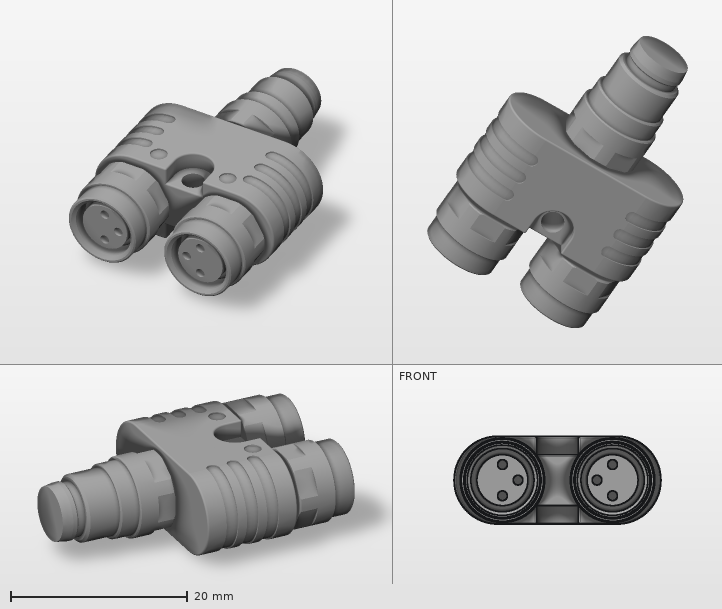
import cadquery as cq
import math

TOTAL_LENGTH = 33.45

BODY_WIDTH = 23.5
BODY_HEIGHT = 10.0
BODY_FRONT = 7.9
BODY_LENGTH = 11.37
BODY_BACK = BODY_FRONT + BODY_LENGTH
BODY_EDGE = 0.2
END_RADIUS = BODY_HEIGHT / 2
END_CENTRE = BODY_WIDTH / 2 - END_RADIUS

GROOVE_WIDTH = 1.47
GROOVE_PITCH = 2.58
GROOVE_DEPTH = 0.2
GROOVE_COUNT = 3

HOLE_DIAMETER = 2.65
HOLE_Y = 9.97
RECESS_RADIUS = 2.37
WEB_THICKNESS = 5.82

LABEL_DIAMETER = 2.0
LABEL_DEPTH = 0.2
LABEL_X = 4.5

NECK_DIAMETER = 5.9
NUT_DIAMETER = 9.6
NUT_EDGE = 0.15
HEX_ACROSS_FLATS = 9.0
HALF_HEX_ANGLE = 30
SLEEVE_DIAMETER = 8.8
SLEEVE_EDGE = 0.17

SOCKET_X = 6.25
SOCKET_NUT_BACK = 7.2
SOCKET_NUT_LENGTH = 4.6
SOCKET_HEX_LENGTH = 2.27
MOUTH_DIAMETER = 8.0
SEAL_DIAMETER = 6.5
SEAL_THICKNESS = 0.7
MOUTH_CHAMFER = (MOUTH_DIAMETER - SEAL_DIAMETER - SEAL_THICKNESS) / 2
FACE_DEPTH = 0.75
SEAL_DEPTH = 2.68
CONTACT_DIAMETER = 1.1
CONTACT_DEPTH = 2.0
CONTACT_OFFSET = 1.77

PLUG_NUT_BACK = 19.8
PLUG_NUT_LENGTH = 4.5
PLUG_HEX_LENGTH = 2.2
PLUG_SLEEVE_END = 26.63
BARREL_DIAMETER = 8.0
BARREL_END = 30.6
BARREL_EDGE = 0.3
TIP_DIAMETER = 6.5
BEAD_DIAMETER = 6.9
BEAD_START = 31.48
BEAD_LENGTH = 0.75
BEAD_RAMP = 0.2

OVERLAP = 0.35
EDGE_MARGIN = 0.05


def cylinder(diameter, start, end, x=0.0, z=0.0):
    """Cylinder along Y between two Y positions."""
    plane = cq.Plane(origin=(x, start, z), xDir=(1, 0, 0), normal=(0, 1, 0))
    return cq.Workplane(plane).circle(diameter / 2).extrude(end - start)


def stadium(height, start, end):
    """Flat-sided block along Y whose two X ends are half round, concentric with the body ends."""
    plane = cq.Plane(origin=(0, start, 0), xDir=(1, 0, 0), normal=(0, 1, 0))
    return cq.Workplane(plane).slot2D(2 * END_CENTRE + height, height).extrude(end - start)


def recess_cutter():
    """U-shaped block, open to the front and reaching from the web up past the top face."""
    floor = WEB_THICKNESS / 2
    height = END_RADIUS - floor + OVERLAP
    front = BODY_FRONT - OVERLAP
    return (
        cq.Workplane("XY", origin=(0, 0, floor))
        .moveTo(-RECESS_RADIUS, front)
        .lineTo(RECESS_RADIUS, front)
        .lineTo(RECESS_RADIUS, HOLE_Y)
        .threePointArc((0, HOLE_Y + RECESS_RADIUS), (-RECESS_RADIUS, HOLE_Y))
        .close()
        .extrude(height)
    )


def groove_cutter(y):
    """Band of constant depth round both body ends, with half-round tips on the flat faces."""
    start = y - GROOVE_WIDTH / 2
    end = y + GROOVE_WIDTH / 2
    skin = stadium(BODY_HEIGHT + 2 * OVERLAP, start, end).cut(
        stadium(BODY_HEIGHT - 2 * GROOVE_DEPTH, start, end)
    )
    flat_middle = (
        cq.Workplane("XY", origin=(0, y, 0))
        .rect(2 * END_CENTRE, GROOVE_WIDTH)
        .extrude(BODY_HEIGHT, both=True)
    )
    tips = (
        cq.Workplane("XY", origin=(0, y, 0))
        .pushPoints([(-END_CENTRE, 0), (END_CENTRE, 0)])
        .circle(GROOVE_WIDTH / 2)
        .extrude(BODY_HEIGHT, both=True)
    )
    return skin.cut(flat_middle.cut(tips))


def make_body():
    """Rounded block with the screw mount, the grip grooves and the label pockets."""
    recess = recess_cutter()
    body = stadium(BODY_HEIGHT, BODY_FRONT, BODY_BACK).cut(recess).cut(recess.mirror("XY"))

    outlines = body.faces("<Y or >Y").edges()
    rim_x = RECESS_RADIUS + EDGE_MARGIN
    rim_front = BODY_FRONT + EDGE_MARGIN
    rim_back = HOLE_Y + RECESS_RADIUS + EDGE_MARGIN
    for rim_z in (-END_RADIUS, END_RADIUS):
        rim_box = cq.selectors.BoxSelector(
            (-rim_x, rim_front, rim_z - EDGE_MARGIN),
            (rim_x, rim_back, rim_z + EDGE_MARGIN),
        )
        outlines = outlines.add(body.edges(rim_box))
    body = outlines.fillet(BODY_EDGE)

    middle = BODY_FRONT + BODY_LENGTH / 2
    for i in range(GROOVE_COUNT):
        offset = (i - (GROOVE_COUNT - 1) / 2) * GROOVE_PITCH
        body = body.cut(groove_cutter(middle + offset))

    hole = (
        cq.Workplane("XY", origin=(0, HOLE_Y, 0))
        .circle(HOLE_DIAMETER / 2)
        .extrude(BODY_HEIGHT, both=True)
    )
    labels = (
        cq.Workplane("XY", origin=(0, HOLE_Y, END_RADIUS - LABEL_DEPTH))
        .pushPoints([(-LABEL_X, 0), (LABEL_X, 0)])
        .circle(LABEL_DIAMETER / 2)
        .extrude(BODY_HEIGHT)
    )
    return body.cut(hole).cut(labels)


def make_nut(body_side, direction, length, hex_length, first_flat):
    """Coupling nut on the Y axis with its hexagon at the end next to the body.

    direction is the sign of Y away from the body; first_flat is the angle of one flat from X.
    """
    far_side = body_side + direction * length
    nut = cylinder(NUT_DIAMETER, min(body_side, far_side), max(body_side, far_side))
    nut = nut.faces("<Y or >Y").edges().chamfer(NUT_EDGE)

    hex_end = body_side + direction * hex_length
    hex_start = min(body_side, hex_end)
    plane = cq.Plane(origin=(0, hex_start, 0), xDir=(1, 0, 0), normal=(0, 1, 0))
    corner_diameter = HEX_ACROSS_FLATS / math.cos(math.radians(HALF_HEX_ANGLE))
    hexagon = (
        cq.Workplane(plane)
        .transformed(rotate=(0, 0, first_flat - HALF_HEX_ANGLE))
        .polygon(6, corner_diameter)
        .extrude(hex_length)
    )
    trimmings = cylinder(2 * NUT_DIAMETER, hex_start, hex_start + hex_length).cut(hexagon)
    return nut.cut(trimmings)


def make_socket(side):
    """Socket connector; side is -1 at the left end of the body and 1 at the right end."""
    neck = cylinder(NECK_DIAMETER, SOCKET_NUT_BACK - OVERLAP, BODY_FRONT + OVERLAP)
    nut = make_nut(SOCKET_NUT_BACK, -1, SOCKET_NUT_LENGTH, SOCKET_HEX_LENGTH, 90)
    sleeve = cylinder(SLEEVE_DIAMETER, 0, SOCKET_NUT_BACK - SOCKET_NUT_LENGTH + OVERLAP)
    sleeve = sleeve.faces("<Y").edges().chamfer(SLEEVE_EDGE)
    socket = neck.union(nut).union(sleeve)

    gap_radius = (SEAL_DIAMETER + SEAL_THICKNESS) / 2
    insert_radius = (SEAL_DIAMETER - SEAL_THICKNESS) / 2
    mouth = (
        cq.Workplane("XY")
        .lineTo(MOUTH_DIAMETER / 2, 0)
        .lineTo(gap_radius, MOUTH_CHAMFER)
        .lineTo(gap_radius, SEAL_DEPTH)
        .lineTo(insert_radius, SEAL_DEPTH)
        .lineTo(insert_radius, FACE_DEPTH)
        .lineTo(0, FACE_DEPTH)
        .close()
        .revolve(360, (0, 0), (0, 1))
    )
    seal = (
        cq.Workplane("XY")
        .center(SEAL_DIAMETER / 2, SEAL_DEPTH)
        .circle(SEAL_THICKNESS / 2)
        .revolve(360, (-SEAL_DIAMETER / 2, 0), (-SEAL_DIAMETER / 2, 1))
    )
    socket = socket.cut(mouth).union(seal)

    for angle in (0, 90, 180):
        x = -side * CONTACT_OFFSET * math.sin(math.radians(angle))
        z = CONTACT_OFFSET * math.cos(math.radians(angle))
        socket = socket.cut(cylinder(CONTACT_DIAMETER, 0, FACE_DEPTH + CONTACT_DEPTH, x, z))
    return socket.translate((side * SOCKET_X, 0, 0))


def make_plug():
    """Plug connector, stepping down from the nut to the snap bead at the tip."""
    neck = cylinder(NECK_DIAMETER, BODY_BACK - OVERLAP, PLUG_NUT_BACK + OVERLAP)
    nut = make_nut(PLUG_NUT_BACK, 1, PLUG_NUT_LENGTH, PLUG_HEX_LENGTH, 0)
    sleeve = cylinder(SLEEVE_DIAMETER, PLUG_NUT_BACK + PLUG_NUT_LENGTH - OVERLAP, PLUG_SLEEVE_END)
    sleeve = sleeve.faces(">Y").edges().chamfer(SLEEVE_EDGE)
    barrel = cylinder(BARREL_DIAMETER, PLUG_SLEEVE_END - OVERLAP, BARREL_END)
    barrel = barrel.faces(">Y").edges().chamfer(BARREL_EDGE)

    tip_radius = TIP_DIAMETER / 2
    bead_radius = BEAD_DIAMETER / 2
    tip = (
        cq.Workplane("XY")
        .moveTo(0, BARREL_END - OVERLAP)
        .lineTo(tip_radius, BARREL_END - OVERLAP)
        .lineTo(tip_radius, BEAD_START)
        .lineTo(bead_radius, BEAD_START + BEAD_RAMP)
        .lineTo(bead_radius, BEAD_START + BEAD_LENGTH)
        .lineTo(tip_radius, TOTAL_LENGTH)
        .lineTo(0, TOTAL_LENGTH)
        .close()
        .revolve(360, (0, 0), (0, 1))
    )
    return neck.union(nut).union(sleeve).union(barrel).union(tip)


result = make_body().union(make_socket(-1)).union(make_socket(1)).union(make_plug())